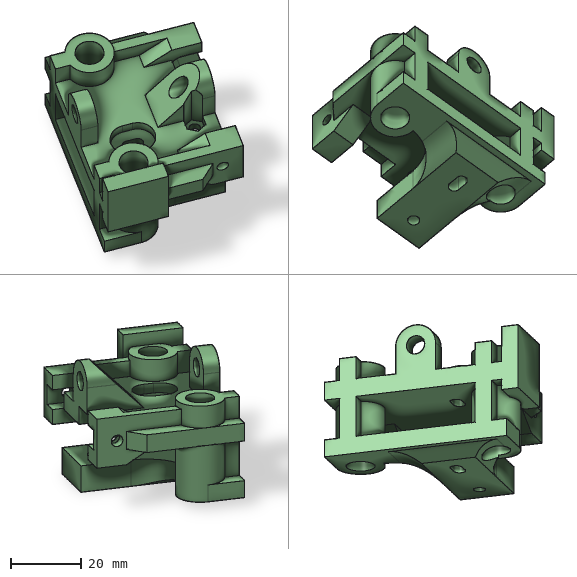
import cadquery as cq
import math

body_width = 55.0
mid_x = body_width / 2
overall_width = 58.5
base_thick = 5.15
deck_bottom = 17.15
deck_top = 22.5
deck_depth = 34.0
deck_corner = 4.5
ramp_slope = math.tan(math.radians(30))

tube_radius = 7.0
tube_bore = 8.2
tube_y = 11.0
tube_top = 29.15
tube_xs = (tube_radius, body_width - tube_radius)
web_width = 5.0

ear_width = 12.05
ear_radius = ear_width / 2
ear_top = 36.6
ear_axis_z = ear_top - ear_radius
ear_bore = 5.45
front_ear_thick = 5.0
rear_ear_back = 40.0
rear_ear_flat = 3.0

rail_outer = deck_corner
rail_width = 3.0
rail_block_width = 7.5
rail_back = 43.0
rail_top = 27.3
rail_bottom = 12.45
rail_hole = 3.4
rail_hole_y = 36.85
rail_hole_z = 20.0
rail_slot_radius = 3.0

arm_x = 35.0
slot_y = 15.0
slot_width = 3.4
slot_travel = 2.9
recess_width = 10.2
recess_depth = 3.0
nut_y = 33.45
nut_across_corners = 6.5
tab_width = 13.1

arm_half = 8.15
arm_bottom = -2.85
arm_fillet = 14.0
belly_radius = 13.3
belly_foot = 16.4
arm_nose = 1.95

block_thick = 5.0
block_depth = 18.1
block_bottom = 14.05
block_top = 33.05


def box(x0, x1, y0, y1, z0, z1):
    """Axis-aligned block between the given limits."""
    return cq.Workplane("XY").box(x1 - x0, y1 - y0, z1 - z0, centered=False).translate((x0, y0, z0))


def mirrored(solid):
    """Copy of a solid reflected about the middle of the body."""
    return solid.mirror("YZ", (mid_x, 0, 0))


def side_profile(points, x0, x1):
    """Closed (y, z) outline extruded along X from x0 to x1."""
    return cq.Workplane("YZ").polyline(points).close().extrude(x1 - x0).translate((x0, 0, 0))


def deck():
    """Middle plate with cut rear corners and a tab that carries the nut."""
    plate = box(0, body_width, 0, deck_depth, deck_bottom, deck_top)
    plate = plate.edges("|Z and >Y").chamfer(deck_corner)
    tab = box(arm_x - tab_width / 2, arm_x + tab_width / 2, slot_y, rear_ear_back, deck_bottom, deck_top)
    return plate.union(tab)


def tube_with_web(x):
    """Full-height tube and the web tying it to the front face."""
    tube = cq.Workplane("XY").center(x, tube_y).circle(tube_radius).extrude(tube_top)
    web = box(x - web_width / 2, x + web_width / 2, 0, tube_y, 0, tube_top)
    return tube.union(web)


def ear(y0, y1):
    """Round-topped upright standing on the deck between y0 and y1."""
    left = mid_x - ear_radius
    right = mid_x + ear_radius
    return (
        cq.Workplane("XZ", origin=(0, y0, 0))
        .moveTo(left, deck_top)
        .lineTo(left, ear_axis_z)
        .threePointArc((mid_x, ear_top), (right, ear_axis_z))
        .lineTo(right, deck_top)
        .close()
        .extrude(y0 - y1)
    )


def rear_ear():
    """Rear ear with a 45 degree front face."""
    height = ear_top - deck_top
    slope_top_y = rear_ear_back - rear_ear_flat
    foot_y = slope_top_y - height
    outline = [
        (foot_y, deck_top),
        (slope_top_y, ear_top),
        (rear_ear_back, ear_top),
        (rear_ear_back, deck_top),
    ]
    wedge = side_profile(outline, 0, body_width)
    return ear(foot_y, rear_ear_back).intersect(wedge)


def left_rail():
    """Guide rail with a thick ramped rear block, a cross hole and an inner slot."""
    top_ramp = (rail_top - deck_top) / ramp_slope
    bottom_ramp = (deck_bottom - rail_bottom) / ramp_slope
    outline = [
        (deck_depth - top_ramp, deck_top),
        (deck_depth, rail_top),
        (rail_back, rail_top),
        (rail_back, rail_bottom),
        (deck_depth, rail_bottom),
        (deck_depth - bottom_ramp, deck_bottom),
    ]
    block = side_profile(outline, rail_outer, rail_outer + rail_block_width)
    bar = box(rail_outer, rail_outer + rail_width, tube_y, rail_back, deck_top, rail_top)
    hole = (
        cq.Workplane("YZ")
        .center(rail_hole_y, rail_hole_z)
        .circle(rail_hole / 2)
        .extrude(rail_outer + rail_block_width)
    )
    slot_x0 = rail_outer + rail_width
    slot_x1 = rail_outer + rail_block_width
    round_end = (
        cq.Workplane("YZ", origin=(slot_x0, 0, 0))
        .center(rail_hole_y, rail_hole_z)
        .circle(rail_slot_radius)
        .extrude(slot_x1 - slot_x0)
    )
    slot_low = rail_hole_z - rail_slot_radius
    slot_high = rail_hole_z + rail_slot_radius
    open_end = box(slot_x0, slot_x1, rail_hole_y, rail_back, slot_low, slot_high)
    return block.union(bar).cut(hole).cut(round_end).cut(open_end)


def lower_arm():
    """Arm flaring into the base bar, with a belly that hangs below the bar."""
    flare_half = arm_half + arm_fillet
    flare_back = tube_y + arm_fillet
    bulge = arm_fillet * (1 - math.sqrt(0.5))
    plan = (
        cq.Workplane("XY", origin=(arm_x, 0, arm_bottom))
        .moveTo(-flare_half, 0)
        .lineTo(-flare_half, tube_y)
        .threePointArc((-arm_half - bulge, tube_y + bulge), (-arm_half, flare_back))
        .lineTo(-arm_half, rear_ear_back)
        .lineTo(arm_half, rear_ear_back)
        .lineTo(arm_half, flare_back)
        .threePointArc((arm_half + bulge, tube_y + bulge), (flare_half, tube_y))
        .lineTo(flare_half, 0)
        .close()
        .extrude(base_thick - arm_bottom)
    )
    plan = plan.intersect(box(0, body_width, 0, rear_ear_back, arm_bottom, base_thick))

    rise = -arm_bottom
    belly_half = belly_foot - math.sqrt(belly_radius**2 - (belly_radius - rise) ** 2)
    half_angle = math.asin((belly_foot - belly_half) / belly_radius) / 2
    flank_x = belly_foot - belly_radius * math.sin(half_angle)
    flank_z = belly_radius * (math.cos(half_angle) - 1)
    section = (
        cq.Workplane("XZ", origin=(arm_x, 0, 0))
        .moveTo(-belly_half, arm_bottom)
        .threePointArc((-flank_x, flank_z), (-belly_foot, 0))
        .lineTo(-body_width, 0)
        .lineTo(-body_width, base_thick)
        .lineTo(body_width, base_thick)
        .lineTo(body_width, 0)
        .lineTo(belly_foot, 0)
        .threePointArc((flank_x, flank_z), (belly_half, arm_bottom))
        .close()
        .extrude(-rear_ear_back)
    )
    nose = side_profile(
        [(0, 0), (arm_nose, 0), (arm_nose + rise / ramp_slope, arm_bottom), (0, arm_bottom)], 0, body_width
    )
    return plan.intersect(section).cut(nose)


def slot(width, z0, z1):
    """Slot along Y, with the shared travel and the given width, between two heights."""
    return (
        cq.Workplane("XY", origin=(arm_x, slot_y, z0))
        .slot2D(slot_travel + width, width, 90)
        .extrude(z1 - z0)
    )


def hole_z(x, y, diameter):
    """Vertical drill through the full height of the part."""
    return cq.Workplane("XY", origin=(x, y, arm_bottom)).circle(diameter / 2).extrude(ear_top - arm_bottom)


body = box(0, body_width, 0, tube_y, 0, base_thick)
body = body.union(lower_arm()).union(deck())
for tube_x in tube_xs:
    body = body.union(tube_with_web(tube_x))
body = body.union(ear(0, front_ear_thick)).union(rear_ear())
body = body.union(left_rail()).union(mirrored(left_rail()))
body = body.union(box(overall_width - block_thick, overall_width, 0, block_depth, block_bottom, block_top))

for tube_x in tube_xs:
    body = body.cut(hole_z(tube_x, tube_y, tube_bore))

pivot = cq.Workplane("XZ").center(mid_x, ear_axis_z).circle(ear_bore / 2).extrude(-rear_ear_back)
body = body.cut(pivot)

recess_floor = deck_top - recess_depth
body = body.cut(slot(slot_width, arm_bottom, deck_top))
body = body.cut(slot(recess_width, recess_floor, deck_top))

body = body.cut(hole_z(arm_x, nut_y, slot_width))
nut = cq.Workplane("XY", origin=(arm_x, nut_y, recess_floor)).polygon(6, nut_across_corners)
body = body.cut(nut.extrude(ear_top - recess_floor))

result = body